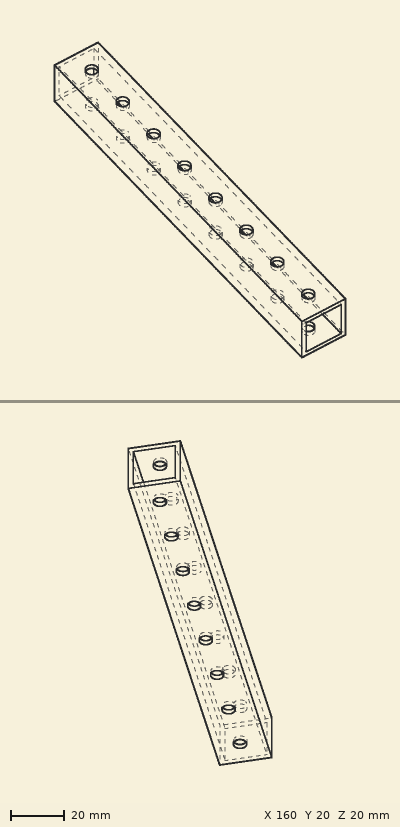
import cadquery as cq

length = 160.0
side = 20.0
bore_side = 16.0
hole_count = 8
hole_pitch = length / hole_count
hole_diameter = 5.0


def square_tube():
    """Square tube centred on the origin, open at both ends."""
    outer = cq.Workplane("XY").box(length, side, side)
    bore = cq.Workplane("XY").box(length, bore_side, bore_side)
    return outer.cut(bore)


def hole_row():
    """Vertical pins, evenly spaced along the tube, that cut the holes."""
    return (
        cq.Workplane("XY")
        .rarray(hole_pitch, side, hole_count, 1)
        .circle(hole_diameter / 2)
        .extrude(side, both=True)
    )


result = square_tube().cut(hole_row())